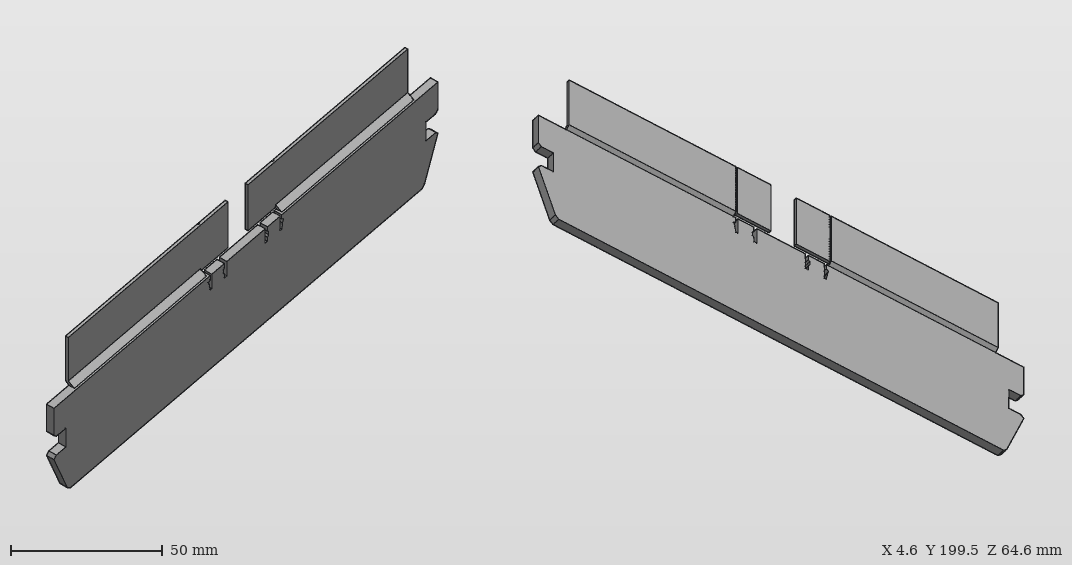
import cadquery as cq

length = 199.5
half_length = length / 2
plate_thickness = 3.2
plate_height = 42.9

recess_top = -13.8
recess_bottom = -22.3
recess_depth = 6.2
corner_chamfer = 1.2
hook_drop = 1.2
bottom_half_length = 91.3
bottom_corner_rise = 1.2
bottom_corner_run = 1.4

flag_thickness = 1.2
flag_offset = 1.4
flag_back = flag_thickness - flag_offset
flag_height = 21.7
flag_outer = 88.2
flag_inner = 5.2
foot_height = 1.8
foot_reach = 2.4
bevel_height = 1.2
pad_gap = 0.5

groove_inner = 19.0
groove_outer = 19.5
groove_depth = 0.4

slot_depth = 6.5
inner_slot_near = 10.0
inner_slot_far = 11.2
inner_slot_bulge = 11.8
outer_slot_near = 17.8
outer_slot_neck = 18.5
outer_slot_base = 18.5
outer_slot_far = 19.0
outer_slot_bulge = 19.5
bulge_start = -2.0
bulge_top = -2.5
bulge_bottom = -4.0
bulge_end = -4.8


def block(x_range, y_range, z_range):
    """Box spanning the given (low, high) ranges."""
    lows, highs = zip(x_range, y_range, z_range)
    sizes = [high - low for low, high in zip(lows, highs)]
    return cq.Workplane("XY").box(*sizes, centered=False).translate(lows)


def extrude_through_plate(points):
    """Extrude a (Y, Z) outline through the plate thickness."""
    return cq.Workplane("YZ").polyline(points).close().extrude(plate_thickness)


def make_plate():
    recess_wall = half_length - recess_depth
    right_side = [
        (half_length, 0),
        (half_length, recess_top + corner_chamfer),
        (half_length - corner_chamfer, recess_top),
        (recess_wall, recess_top),
        (recess_wall, recess_bottom),
        (half_length - corner_chamfer, recess_bottom),
        (half_length, recess_bottom - hook_drop),
        (bottom_half_length + bottom_corner_run, bottom_corner_rise - plate_height),
        (bottom_half_length, -plate_height),
    ]
    left_side = [(-y, z) for y, z in reversed(right_side)]
    return extrude_through_plate(right_side + left_side)


def make_slots():
    """Both bulged slots on the +Y side."""
    inner = extrude_through_plate([
        (inner_slot_near, 0),
        (inner_slot_far, 0),
        (inner_slot_far, bulge_start),
        (inner_slot_bulge, bulge_top),
        (inner_slot_bulge, bulge_bottom),
        (inner_slot_far, bulge_end),
        (inner_slot_far, -slot_depth),
        (inner_slot_near, -slot_depth),
    ])
    outer = extrude_through_plate([
        (outer_slot_near, 0),
        (outer_slot_neck, 0),
        (outer_slot_neck, bulge_start),
        (outer_slot_bulge, bulge_top),
        (outer_slot_far, bulge_bottom),
        (outer_slot_far, bulge_end),
        (outer_slot_base, -slot_depth),
        (outer_slot_near, -slot_depth),
    ])
    return inner.union(outer)


def make_flag():
    """Wing with a bevelled, sloping foot, plus its free pad, on the +Y side."""
    wing = (
        cq.Workplane("XZ")
        .moveTo(0, 0)
        .lineTo(-flag_offset, bevel_height)
        .lineTo(-flag_offset, flag_height)
        .lineTo(flag_back, flag_height)
        .lineTo(flag_back, foot_height)
        .lineTo(foot_reach, 0)
        .close()
        .extrude(groove_outer - flag_outer)
        .translate((0, groove_outer, 0))
    )
    pad = block((-flag_offset, flag_back), (flag_inner, groove_outer), (pad_gap, flag_height))
    groove = block(
        (-flag_offset, groove_depth - flag_offset),
        (groove_inner, groove_outer),
        (0, flag_height),
    )
    return wing.union(pad.cut(groove))


def both_sides(feature):
    """A +Y feature together with its mirror image."""
    return feature.union(feature.mirror("XZ"))


result = make_plate().cut(both_sides(make_slots())).union(both_sides(make_flag()))